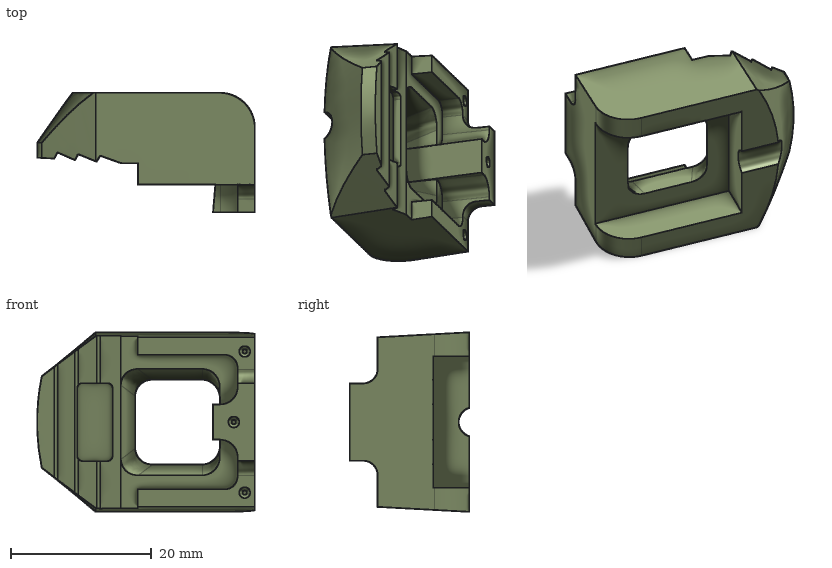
import cadquery as cq
import math


length = 30.92
back_height = 25.5
total_depth = 17.0

draft_angle = 3.1
shoulder_x = 8.35
nose_half_height = 6.5

nose_radius = 32.47
nose_setback = 5.0
nose_band_depth = 7.1

teeth = [(0, 9.25), (2.45, 9.37), (2.9, 8.5), (5.38, 9.6), (5.85, 8.75), (8.45, 9.8), (8.97, 8.97)]
floor_start_x = 11.9
floor_depth = 10.02
rail_start_x = 14.32
rail_depth = 13.05
back_corner_radius = 5.0

channel_half_height = 9.55
channel_end_x = 28.48
channel_corner_radius = 1.92
boss_half_height = 5.5
boss_root_radius = 2.0
boss_neck_radius = 2.5
tongue_half_height = 2.5
tongue_tip_x = 24.95

window_right_x = 25.95
window_half_height = 7.55
window_taper_z = 1.55
window_taper_x = 2.05
window_corner_radius = 2.5
throat_depth = 5.15

recess_half_height = 9.35
recess_ledge = recess_half_height - (window_half_height - window_taper_z)
groove_width = 4.02
groove_depth = 1.5

label_left_x = 5.7
label_right_x = 10.73
label_height = 11.07
label_floor_depth = 8.45
label_corner_radius = 0.77

dimple_mouth_radius = 0.77
dimple_bottom_radius = 0.3
dimple_depth = 0.62
rail_dimple_x = 29.47
rail_dimple_z = 10.02
boss_dimple_x = 27.92


def plane_at(depth):
    """Workplane parallel to the back face; its normal points to the front (-Y)."""
    return cq.Workplane("XZ", origin=(0, -depth, 0))


def silhouette():
    """Side profile with the gripping teeth, extruded along Z over the full height."""
    front = teeth + [
        (floor_start_x, floor_depth),
        (rail_start_x, floor_depth),
        (rail_start_x, total_depth),
    ]
    blank = (
        cq.Workplane("XY")
        .moveTo(0, 0)
        .polyline([(x, -depth) for x, depth in front], includeCurrent=True)
        .lineTo(length, -total_depth)
        .lineTo(length, 0)
        .close()
        .extrude(back_height / 2, both=True)
    )
    return blank.edges("|Z and >X and >Y").fillet(back_corner_radius)


def outline_points(depth):
    """Outline seen from the front at one depth; the top and bottom lean inward by the draft."""
    half = back_height / 2 - depth * math.tan(math.radians(draft_angle))
    nose_corner_x = nose_radius - math.sqrt(nose_radius**2 - nose_half_height**2)
    upper = [(0, nose_half_height), (nose_corner_x, nose_half_height), (shoulder_x, half), (length, half)]
    return upper + [(x, -z) for x, z in reversed(upper)]


def drafted_outline():
    return (
        plane_at(0)
        .polyline(outline_points(0))
        .close()
        .workplane(offset=total_depth)
        .polyline(outline_points(total_depth))
        .close()
        .loft(ruled=True)
    )


def nose_cone():
    """Cone behind a cylindrical band; they shape only the nose end."""
    return (
        cq.Workplane("XY", origin=(nose_radius, 0, 0))
        .polyline([
            (0, 0),
            (nose_setback - nose_radius, 0),
            (-nose_radius, -nose_band_depth),
            (-nose_radius, -total_depth),
            (0, -total_depth),
        ])
        .close()
        .revolve(360, (0, 0, 0), (0, 1, 0))
    )


def rail_trim(side):
    """Space in front of one rail, with a concave fillet at the root of the boss."""
    root_z = boss_half_height + boss_root_radius
    diagonal = boss_root_radius * math.sqrt(0.5)
    fillet_center_depth = rail_depth + boss_root_radius
    return (
        cq.Workplane("YZ")
        .moveTo(-total_depth, side * boss_half_height)
        .lineTo(-fillet_center_depth, side * boss_half_height)
        .threePointArc(
            (-(fillet_center_depth - diagonal), side * (root_z - diagonal)),
            (-rail_depth, side * root_z),
        )
        .lineTo(-rail_depth, side * back_height)
        .lineTo(-total_depth, side * back_height)
        .close()
        .extrude(length)
    )


def channel():
    """Clearance between the rails, running round the sides of the boss neck."""
    corner_x = channel_end_x - channel_corner_radius
    corner_z = channel_half_height - channel_corner_radius
    corner_diagonal = channel_corner_radius * math.sqrt(0.5)
    neck_x = channel_end_x - boss_neck_radius
    neck_z = tongue_half_height + boss_neck_radius
    neck_diagonal = boss_neck_radius * math.sqrt(0.5)
    half = (
        plane_at(floor_depth)
        .moveTo(rail_start_x, 0)
        .lineTo(rail_start_x, channel_half_height)
        .lineTo(corner_x, channel_half_height)
        .threePointArc((corner_x + corner_diagonal, corner_z + corner_diagonal), (channel_end_x, corner_z))
        .lineTo(channel_end_x, neck_z)
        .threePointArc((neck_x + neck_diagonal, neck_z - neck_diagonal), (neck_x, tongue_half_height))
        .lineTo(window_right_x, tongue_half_height)
        .lineTo(window_right_x, 0)
        .close()
        .extrude(total_depth - floor_depth)
    )
    return half.union(half.mirror("XY"))


def window():
    """Opening that narrows from the front floor to the throat; its right wall stays square."""
    width = window_right_x - floor_start_x
    throat_width = width - window_taper_x
    blank = (
        plane_at(throat_depth)
        .center(window_right_x - throat_width / 2, 0)
        .rect(throat_width, 2 * (window_half_height - window_taper_z))
        .workplane(offset=floor_depth - throat_depth)
        .center((throat_width - width) / 2, 0)
        .rect(width, 2 * window_half_height)
        .loft(ruled=True)
    )
    return blank.edges("not(#Y)").fillet(window_corner_radius)


def tongue():
    """Wedge on the boss that leans out over the window, fading out at the throat."""
    return (
        cq.Workplane("XY")
        .polyline([
            (window_right_x, -throat_depth),
            (tongue_tip_x, -total_depth),
            (channel_end_x, -total_depth),
            (channel_end_x, -throat_depth),
        ])
        .close()
        .extrude(tongue_half_height, both=True)
    )


def back_recess():
    """Recess behind the window, open to the back and to the right end."""
    left_x = floor_start_x + window_taper_x - recess_ledge
    return cq.Workplane("XY").box(
        length - left_x, throat_depth, 2 * recess_half_height, centered=(False, False, True)
    ).translate((left_x, -throat_depth, 0))


def back_groove():
    """Round groove along X through the nose into the back recess."""
    radius = ((groove_width / 2) ** 2 + groove_depth**2) / (2 * groove_depth)
    return cq.Workplane("YZ").center(radius - groove_depth, 0).circle(radius).extrude(length)


def label_pocket():
    return (
        plane_at(label_floor_depth)
        .center((label_left_x + label_right_x) / 2, 0)
        .rect(label_right_x - label_left_x, label_height)
        .extrude(total_depth - label_floor_depth)
        .edges("|Y")
        .fillet(label_corner_radius)
    )


def dimple(x, z, mouth_depth):
    cone = cq.Solid.makeCone(
        dimple_mouth_radius, dimple_bottom_radius, dimple_depth,
        pnt=cq.Vector(x, -mouth_depth, z), dir=cq.Vector(0, 1, 0),
    )
    return cq.Workplane(obj=cone)


body = silhouette().intersect(drafted_outline()).intersect(nose_cone())
for side in (1, -1):
    body = body.cut(rail_trim(side))
body = body.cut(channel()).cut(window()).union(tongue())
body = body.cut(back_recess()).cut(back_groove()).cut(label_pocket())
for side in (1, -1):
    body = body.cut(dimple(rail_dimple_x, side * rail_dimple_z, rail_depth))
result = body.cut(dimple(boss_dimple_x, 0, total_depth))